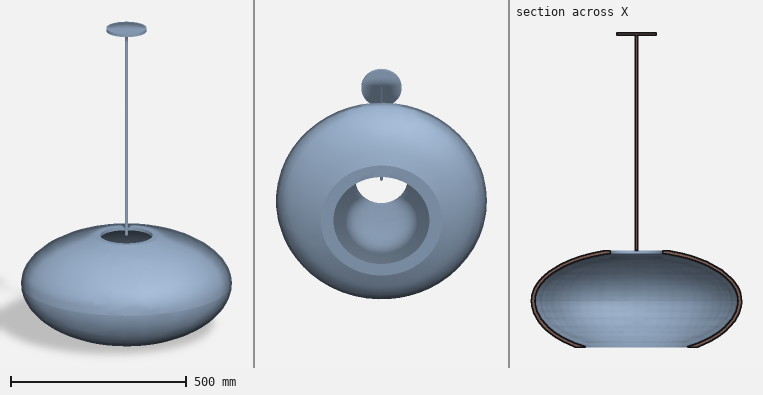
import cadquery as cq

total_height = 896.0

plate_radius = 57.0
plate_thickness = 9.0
plate_bottom = total_height - plate_thickness

shade_radius = 300.0
shade_height = 276.0
shade_wall = 12.0
equator_height = 133.0
upper_semi_axis = 150.5
lower_semi_axis = 162.0
top_opening_radius = 74.0

rod_radius = 4.5
rod_length = plate_bottom - shade_height


def make_spheroid(inset):
    """Spheroid with unequal upper and lower halves, every semi-axis reduced by inset."""
    radius = shade_radius - inset
    lower = lower_semi_axis - inset
    upper = upper_semi_axis - inset
    return (
        cq.Workplane("XZ")
        .moveTo(0, equator_height - lower)
        .ellipseArc(radius, lower, 270, 360)
        .ellipseArc(radius, upper, 0, 90)
        .close()
        .revolve(360, (0, 0, 0), (0, 1, 0))
    )


def make_shade():
    """Thin shell, cut flat at both ends; the hollow opens the bottom and a round hole opens the top."""
    trim = cq.Workplane("XY").circle(2 * shade_radius).extrude(shade_height)
    top_opening = (
        cq.Workplane("XY")
        .workplane(offset=equator_height)
        .circle(top_opening_radius)
        .extrude(upper_semi_axis)
    )
    return make_spheroid(0).intersect(trim).cut(make_spheroid(shade_wall)).cut(top_opening)


def make_rod():
    """Slim round rod whose upper end touches the underside of the plate."""
    return cq.Workplane("XY").workplane(offset=shade_height).circle(rod_radius).extrude(rod_length)


def make_plate():
    """Flat round ceiling plate."""
    return cq.Workplane("XY").workplane(offset=plate_bottom).circle(plate_radius).extrude(plate_thickness)


shade = make_shade()
rod = make_rod()
plate = make_plate()

result = cq.Compound.makeCompound([shade.val(), rod.val(), plate.val()])